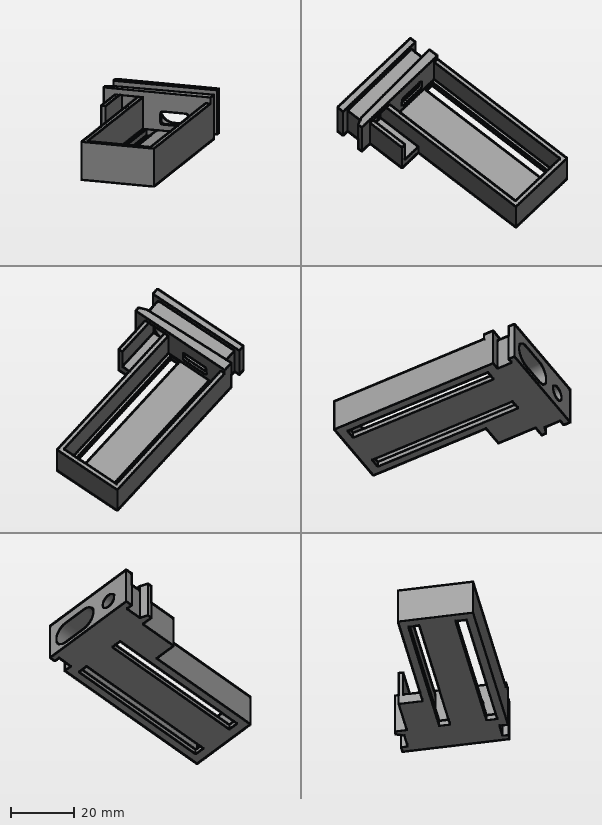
import cadquery as cq

flange_height = 14.4
body_height = 12.45

tray_left = 11.55
tray_right = 35.7
wall = 1.6
tray_back = 54.9
floor_top = 2.1
slot_inset = 2.75
slot_width = 3.5
slot_front = 3.3
slot_back = 54.7

part_back = 65.6
neck_left = 2.55
neck_right = 32.9
rear_flange_left = 0.4
rear_flange_right = 34.85
rear_flange_front_left = 63.2
rear_flange_front_right = 63.45
front_flange_tip_back = 56.5
front_flange_neck_back = 57.45
front_flange_right_back = 58.3

bracket_left = 3.9
bracket_front = 41.3
bracket_wall = 1.45
bracket_floor = 3.6
pin_diameter = 5.2
bracket_channel_left = bracket_left + bracket_wall
channel_back = 57.35
pin_x = (bracket_channel_left + tray_left) / 2
pin_z = bracket_floor + pin_diameter / 2

socket_diameter = 8.7
socket_width = 16.7
socket_front = 55.9
socket_x = (tray_left + tray_right) / 2
window_width = 9.45
window_height = 4.25
window_corner_radius = 1.0


def block(x0, x1, y0, y1, z0, z1):
    """Return an axis-aligned box between the given limits."""
    return cq.Workplane("XY").box(x1 - x0, y1 - y0, z1 - z0, centered=False).translate((x0, y0, z0))


def make_tray():
    """Return the open tray with two long slots through its floor."""
    tray = block(tray_left, tray_right, 0, tray_back, 0, body_height)
    tray = tray.cut(block(tray_left + wall, tray_right - wall, wall, tray_back, floor_top, body_height))
    for slot_left in (tray_left + slot_inset, tray_right - slot_inset - slot_width):
        tray = tray.cut(block(slot_left, slot_left + slot_width, slot_front, slot_back, 0, floor_top))
    return tray


def make_head():
    """Return the two tapered flanges and the lower neck between them."""
    front_flange = [
        (0, tray_back),
        (tray_right, tray_back),
        (tray_right, front_flange_right_back),
        (neck_left, front_flange_neck_back),
        (0, front_flange_tip_back),
    ]
    rear_flange = [
        (rear_flange_left, rear_flange_front_left),
        (rear_flange_right, rear_flange_front_right),
        (rear_flange_right, part_back),
        (rear_flange_left, part_back),
    ]
    head = block(neck_left, neck_right, tray_back, part_back, 0, body_height)
    for outline in (front_flange, rear_flange):
        head = head.union(cq.Workplane("XY").polyline(outline).close().extrude(flange_height))
    return head


def make_bracket():
    """Return the solid block of the bracket beside the tray."""
    return block(bracket_left, tray_left, bracket_front, tray_back, 0, body_height)


def make_bracket_channel():
    """Return the open channel above the bracket floor, which runs on into the head."""
    return block(bracket_channel_left, tray_left, bracket_front, channel_back, bracket_floor, body_height)


def head_section(x, front):
    """Return a sketch plane across the head, centred at x and at pin height, whose extrusions run toward +Y."""
    plane = cq.Plane(origin=(x, front, pin_z), xDir=(-1, 0, 0), normal=(0, 1, 0))
    return cq.Workplane(plane)


def make_pin_hole():
    """Return the pin cylinder, running from the channel to the rear face."""
    return head_section(pin_x, tray_back).circle(pin_diameter / 2).extrude(part_back - tray_back)


def make_socket():
    """Return the socket open to the rear, with the window from it into the tray."""
    socket = head_section(socket_x, socket_front).slot2D(socket_width, socket_diameter)
    window = head_section(socket_x, tray_back).rect(window_width, window_height)
    socket = socket.extrude(part_back - socket_front)
    window = window.extrude(socket_front - tray_back).edges("|Y").fillet(window_corner_radius)
    return socket.union(window)


body = make_tray().union(make_head()).union(make_bracket())
result = body.cut(make_bracket_channel()).cut(make_pin_hole()).cut(make_socket())